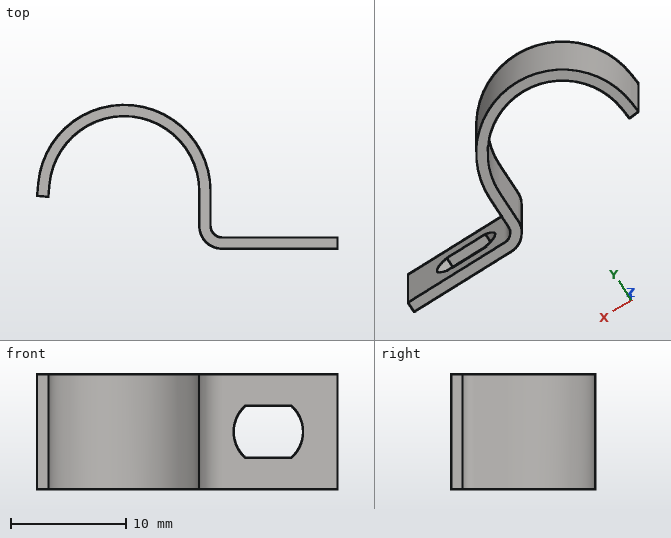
import cadquery as cq
import math

thickness = 1.0
width = 10.0

inner_radius = 6.5
outer_radius = inner_radius + thickness
lip_angle = math.radians(5.0)
lip_tip_y = -0.5
lip_length = inner_radius * math.tan(lip_angle) - lip_tip_y / math.cos(lip_angle)

tab_back_y = -5.0
tab_front_y = tab_back_y + thickness
bend_inner_radius = 1.0
bend_outer_radius = bend_inner_radius + thickness
bend_center_x = outer_radius + bend_inner_radius
bend_center_y = tab_front_y + bend_inner_radius
tab_length = 10.0
tab_end_x = bend_center_x + tab_length

hole_diameter = 6.0
hole_height = 4.5
hole_end_distance = 6.0


def hook_end(radius):
    """Point where the hook arc of this radius meets the lip."""
    return (-radius * math.cos(lip_angle), radius * math.sin(lip_angle))


def lip_tip(radius):
    """Free corner of the lip that continues the arc of this radius."""
    x, y = hook_end(radius)
    return (x - lip_length * math.sin(lip_angle), y - lip_length * math.cos(lip_angle))


def bend_middle(radius):
    """Midpoint of the quarter-circle bend of this radius."""
    offset = radius * math.sqrt(0.5)
    return (bend_center_x - offset, bend_center_y - offset)


def make_strip():
    return (
        cq.Workplane("XY")
        .workplane(offset=-width / 2)
        .moveTo(*lip_tip(outer_radius))
        .lineTo(*hook_end(outer_radius))
        .threePointArc((0, outer_radius), (outer_radius, 0))
        .lineTo(outer_radius, bend_center_y)
        .threePointArc(bend_middle(bend_inner_radius), (bend_center_x, tab_front_y))
        .lineTo(tab_end_x, tab_front_y)
        .lineTo(tab_end_x, tab_back_y)
        .lineTo(bend_center_x, tab_back_y)
        .threePointArc(bend_middle(bend_outer_radius), (inner_radius, bend_center_y))
        .lineTo(inner_radius, 0)
        .threePointArc((0, inner_radius), hook_end(inner_radius))
        .lineTo(*lip_tip(inner_radius))
        .close()
        .extrude(width)
    )


def make_hole_cutter():
    hole_center = (tab_end_x - hole_end_distance, (tab_back_y + tab_front_y) / 2, 0)
    reach = thickness
    plane = cq.Workplane("XZ", origin=hole_center)
    disc = plane.circle(hole_diameter / 2).extrude(reach, both=True)
    flats = plane.rect(hole_diameter, hole_height).extrude(reach, both=True)
    return disc.intersect(flats)


result = make_strip().cut(make_hole_cutter())